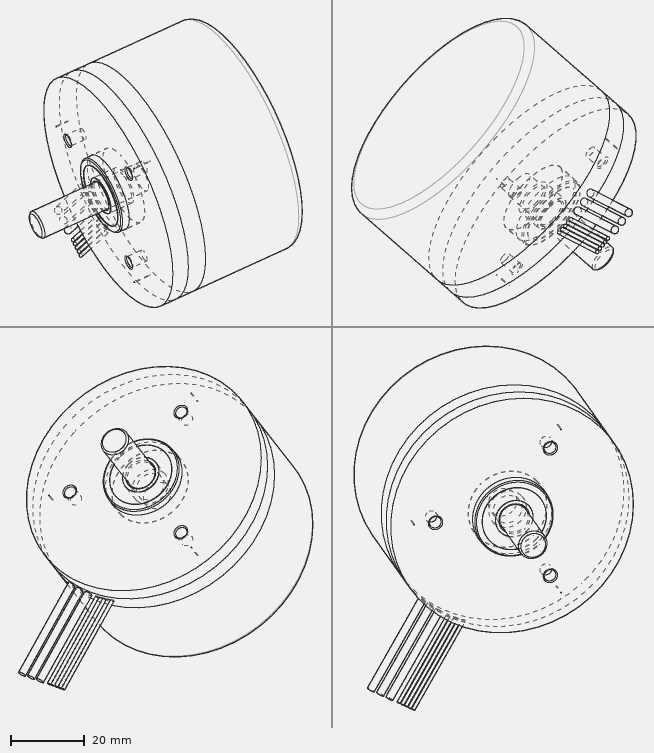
import cadquery as cq
import math


BODY_RADIUS = 34.02
FLANGE_THICKNESS = 4.9
RING_THICKNESS = 5.45
BODY_LENGTH = 41.9
CAN_FILLET = 2.0

SHAFT_RADIUS = 4.0
SHAFT_TIP_Y = -23.0
SHAFT_CHAMFER = 0.5

BEARING_RADIUS = 11.0
BEARING_BORE_RADIUS = 11.1
BEARING_PROTRUSION = 2.45
BEARING_OUTER_CHAMFER = 0.4
BEARING_INNER_CHAMFER = 0.4
INNER_RACE_RADIUS = 5.3
SHIELD_RADIUS = 9.0
SHIELD_RECESS = 0.2

HOLE_ANGLES = (60, 180, 300)
HOLE_CIRCLE_RADIUS = 21.4
HOLE_RADIUS = 1.6
HOLE_MOUTH_RADIUS = 2.0
MARK_CIRCLE_RADIUS = 27.4
MARK_RADIUS = 0.1

LEAD_TILT = 30
LEAD_Y = 6.9
LEAD_END = 61.95
LEAD_ROOT = 30.0
POWER_LEAD_RADIUS = 1.1
POWER_LEAD_COUNT = 3
POWER_LEAD_PITCH = 3.0
POWER_LEAD_FIRST = -7.9
SIGNAL_LEAD_RADIUS = 0.5
SIGNAL_LEAD_COUNT = 5
SIGNAL_LEAD_PITCH = 1.2
SIGNAL_LEAD_FIRST = 1.1

RING_FRONT_Y = FLANGE_THICKNESS
CAN_FRONT_Y = RING_FRONT_Y + RING_THICKNESS
BEARING_FRONT_Y = -BEARING_PROTRUSION
BEARING_WIDTH = RING_FRONT_Y - BEARING_FRONT_Y


def rod(radius, start_y, length):
    """Cylinder on the shaft axis running from start_y toward +Y."""
    return cq.Workplane("XZ", origin=(0, start_y, 0)).circle(radius).extrude(-length)


def circle_points(radius):
    """Points in the XZ plane at the three mounting angles."""
    return [
        (radius * math.cos(math.radians(a)), radius * math.sin(math.radians(a)))
        for a in HOLE_ANGLES
    ]


def make_flange():
    flange = rod(BODY_RADIUS, 0, FLANGE_THICKNESS)
    flange = flange.cut(rod(BEARING_BORE_RADIUS, 0, FLANGE_THICKNESS))
    mouth_depth = HOLE_MOUTH_RADIUS - HOLE_RADIUS
    for x, z in circle_points(HOLE_CIRCLE_RADIUS):
        flange = flange.cut(rod(HOLE_RADIUS, 0, FLANGE_THICKNESS).translate((x, 0, z)))
        mouth = cq.Solid.makeCone(
            HOLE_MOUTH_RADIUS, HOLE_RADIUS, mouth_depth, cq.Vector(x, 0, z), cq.Vector(0, 1, 0)
        )
        flange = flange.cut(cq.Workplane(mouth))
    for x, z in circle_points(MARK_CIRCLE_RADIUS):
        flange = flange.cut(rod(MARK_RADIUS, 0, FLANGE_THICKNESS).translate((x, 0, z)))
    return flange


def make_lead(radius, offset):
    """One wire, from inside the ring to its free end, at a sideways offset."""
    tilt = math.radians(LEAD_TILT)
    along = cq.Vector(-math.sin(tilt), 0, -math.cos(tilt))
    sideways = cq.Vector(math.cos(tilt), 0, -math.sin(tilt))
    root = cq.Vector(0, LEAD_Y, 0) + along * LEAD_ROOT + sideways * offset
    return cq.Workplane(cq.Solid.makeCylinder(radius, LEAD_END - LEAD_ROOT, root, along))


def make_lead_ring():
    """Ring between flange and can, with the wires moulded into it."""
    ring = rod(BODY_RADIUS, RING_FRONT_Y, RING_THICKNESS)
    ring = ring.cut(rod(SHAFT_RADIUS, RING_FRONT_Y, RING_THICKNESS))
    for i in range(POWER_LEAD_COUNT):
        ring = ring.union(make_lead(POWER_LEAD_RADIUS, POWER_LEAD_FIRST + i * POWER_LEAD_PITCH))
    for i in range(SIGNAL_LEAD_COUNT):
        ring = ring.union(make_lead(SIGNAL_LEAD_RADIUS, SIGNAL_LEAD_FIRST + i * SIGNAL_LEAD_PITCH))
    return ring


def make_can():
    can = rod(BODY_RADIUS, CAN_FRONT_Y, BODY_LENGTH - CAN_FRONT_Y)
    return can.faces(">Y").edges().fillet(CAN_FILLET)


def make_bearing_outer():
    """Outer race with its shield, which sits slightly below the race face."""
    outer = rod(BEARING_RADIUS, BEARING_FRONT_Y, BEARING_WIDTH)
    outer = outer.faces("<Y").edges().chamfer(BEARING_OUTER_CHAMFER)
    outer = outer.cut(rod(SHIELD_RADIUS, BEARING_FRONT_Y, SHIELD_RECESS))
    return outer.cut(rod(INNER_RACE_RADIUS, BEARING_FRONT_Y, BEARING_WIDTH))


def make_bearing_inner():
    inner = rod(INNER_RACE_RADIUS, BEARING_FRONT_Y, BEARING_WIDTH)
    inner = inner.cut(rod(SHAFT_RADIUS, BEARING_FRONT_Y, BEARING_WIDTH))
    bore_edge = inner.faces("<Y").edges(cq.selectors.RadiusNthSelector(0))
    return bore_edge.chamfer(BEARING_INNER_CHAMFER)


def make_shaft():
    """Shaft from its chamfered tip through bearing and ring to the can."""
    shaft = rod(SHAFT_RADIUS, SHAFT_TIP_Y, CAN_FRONT_Y - SHAFT_TIP_Y)
    return shaft.faces("<Y").edges().chamfer(SHAFT_CHAMFER)


flange = make_flange()
lead_ring = make_lead_ring()
can = make_can()
bearing_outer = make_bearing_outer()
bearing_inner = make_bearing_inner()
shaft = make_shaft()

result = cq.Compound.makeCompound([
    flange.val(),
    lead_ring.val(),
    can.val(),
    bearing_outer.val(),
    bearing_inner.val(),
    shaft.val(),
])